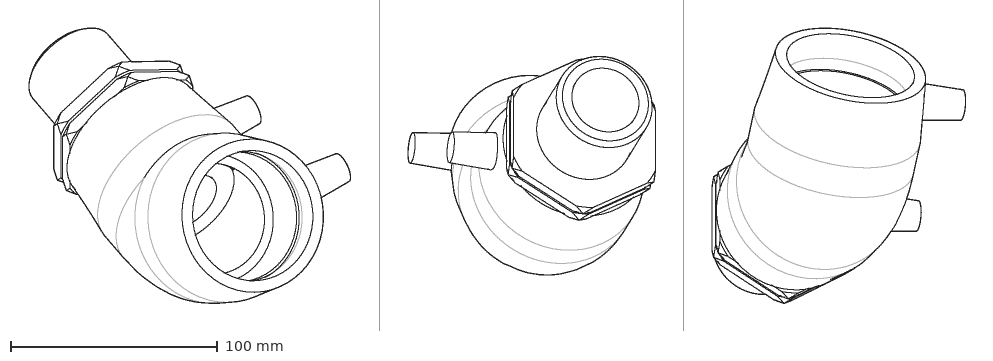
import cadquery as cq
import math

overall_length = 192.0
overall_width = 100.0
bend_angle = 45.0
angle = math.radians(bend_angle)
bend_radius = 32.6
body_radius = 82.0 / 2
mouth_radius = 37.0
straight_length = 16.5
taper_length = 33.6
leg_length = straight_length + taper_length
outlet_run = (bend_radius + mouth_radius) * math.sin(angle) + leg_length * math.cos(angle)
bend_start_x = overall_length - outlet_run

spigot_radius = 47.8 / 2
spigot_chamfer = 2.5
spigot_bore_radius = 16.7
hex_across_flats = 70.7
hex_across_corners = hex_across_flats / math.cos(math.pi / 6)
hex_thickness = 6.5
hex_gap = 1.5
hex_chamfer_radius = 38.5
neck_radius = 31.5
body_start_x = bend_start_x - leg_length
first_hex_x = body_start_x - 2 * hex_thickness - hex_gap

socket_radius = 31.5
bend_bore_radius = 26.9
groove_radius = 32.8
groove_offset = 13.6
groove_width = 7.0

post_reach = overall_width - body_radius
post_tip_radius = 7.5
post_base_radius = 9.5
post_base_y = 33.6
post_offset = 33.5

outlet_origin = (
    bend_start_x + bend_radius * math.sin(angle),
    0,
    bend_radius * (1 - math.cos(angle)),
)
outlet_plane = cq.Plane(outlet_origin, (0, 1, 0), (math.cos(angle), 0, math.sin(angle)))
inlet_plane = cq.Plane((bend_start_x, 0, 0), (0, 1, 0), (-1, 0, 0))


def x_cylinder(start, length, radius):
    return cq.Workplane("YZ", origin=(start, 0, 0)).circle(radius).extrude(length)


def leg(plane):
    """Cylindrical stretch narrowing to a conical mouth."""
    outline = (
        cq.Workplane("XZ")
        .lineTo(body_radius, 0)
        .lineTo(body_radius, straight_length)
        .lineTo(mouth_radius, leg_length)
        .lineTo(0, leg_length)
        .close()
    )
    solid = outline.revolve(360, (0, 0), (0, 1)).val()
    return cq.Workplane(solid.moved(cq.Location(plane)))


def sweep_bend(outline):
    """Turn a YZ outline, drawn about the inlet axis, through the bend."""
    return outline.revolve(bend_angle, (0, bend_radius), (-1, bend_radius))


def bend():
    half_width = math.sqrt(body_radius**2 - bend_radius**2)
    outline = (
        cq.Workplane("YZ", origin=(bend_start_x, 0, 0))
        .moveTo(-half_width, bend_radius)
        .threePointArc((0, -body_radius), (half_width, bend_radius))
        .close()
    )
    return cq.Workplane(sweep_bend(outline).val().toNURBS())


def hexagon(start):
    """Hexagon with corners up and down, chamfered on both faces."""
    nut = (
        cq.Workplane("YZ", origin=(start, 0, 0))
        .polygon(6, hex_across_corners)
        .extrude(hex_thickness)
        .rotate((0, 0, 0), (1, 0, 0), 90)
    )
    middle = start + hex_thickness / 2
    crown_radius = hex_across_corners / 2
    crown = (
        cq.Workplane("XY")
        .moveTo(start, 0)
        .lineTo(start, hex_chamfer_radius)
        .lineTo(middle, crown_radius)
        .lineTo(start + hex_thickness, hex_chamfer_radius)
        .lineTo(start + hex_thickness, 0)
        .close()
        .revolve(360, (0, 0), (1, 0))
    )
    return nut.intersect(crown)


def post(plane):
    """Terminal post pointing along +Y, standing on the side of a leg."""
    foot = plane.toWorldCoords((0, 0, post_offset))
    height = post_reach - post_base_y
    cone = cq.Solid.makeCone(
        post_base_radius,
        post_tip_radius,
        height,
        cq.Vector(foot.x, post_base_y, foot.z),
        cq.Vector(0, 1, 0),
    )
    return cq.Workplane(cone)


def outlet_socket():
    """Socket bore with a groove that widens conically to a square inner shoulder."""
    groove_top = leg_length - groove_offset
    groove_bottom = groove_top - groove_width
    outline = (
        cq.Workplane("XZ")
        .lineTo(socket_radius, 0)
        .lineTo(socket_radius, groove_bottom)
        .lineTo(groove_radius, groove_bottom)
        .lineTo(socket_radius, groove_top)
        .lineTo(socket_radius, leg_length)
        .lineTo(0, leg_length)
        .close()
    )
    solid = outline.revolve(360, (0, 0), (0, 1)).val()
    return cq.Workplane(solid.moved(cq.Location(outlet_plane)))


result = bend()
for leg_plane in (inlet_plane, outlet_plane):
    result = result.union(leg(leg_plane)).union(post(leg_plane))

spigot = x_cylinder(0, first_hex_x, spigot_radius).faces("<X").chamfer(spigot_chamfer)
neck = x_cylinder(first_hex_x, body_start_x - first_hex_x, neck_radius)
result = result.union(spigot).union(neck)
for hex_x in (first_hex_x, first_hex_x + hex_thickness + hex_gap):
    result = result.union(hexagon(hex_x))

bend_bore = sweep_bend(cq.Workplane("YZ", origin=(bend_start_x, 0, 0)).circle(bend_bore_radius))
result = (
    result.cut(x_cylinder(0, bend_start_x, spigot_bore_radius))
    .cut(bend_bore)
    .cut(outlet_socket())
)